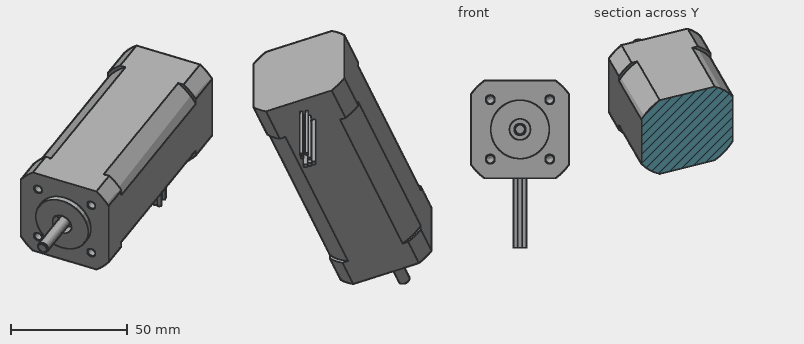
import cadquery as cq
import math

overall_length = 121.8
overall_height = 71.7
body_width = 42.0
half_width = body_width / 2
body_length = 100.4

front_cap_length = 12.4
back_cap_length = 16.0
stator_length = body_length - front_cap_length - back_cap_length
cap_flat_width = 30.3
stator_flat_width = 25.2

pilot_diameter = 25.1
pilot_height = 2.5
recess_diameter = 9.0
recess_depth = 5.0
shaft_diameter = 5.0
shaft_chamfer = 0.5
shaft_reach = overall_length - body_length

hole_pitch = 25.5
hole_diameter = 3.5
hole_mouth_diameter = 4.0
hole_depth = 5.0
drill_point_angle = 118.0

thick_wire_diameter = 1.8
thin_wire_diameter = 1.3
wire_length = overall_height - body_width
wire_embedment = 1.2
thick_wire_gap = 0.06
thick_wire_pitch = thick_wire_diameter + thick_wire_gap
thick_wire_inset = 12.4
thick_wires = [(step * thick_wire_pitch, thick_wire_inset) for step in (-1, 0, 1)]
thin_wires = [(-1.0, 6.7), (-1.1, 9.5), (1.3, 6.2), (1.6, 7.7)]


def body_section(start, length, flat_width):
    """Square bar whose corners are rounded by a circle about the shaft axis."""
    corner_diameter = math.hypot(body_width, flat_width)
    square = cq.Workplane("XY").box(body_width, length, body_width).translate((0, start + length / 2, 0))
    return square.intersect(rod(corner_diameter, start, length))


def rod(diameter, start, length):
    """Cylinder on the shaft axis, running toward +Y from start."""
    return cq.Workplane("XZ", origin=(0, start, 0)).circle(diameter / 2).extrude(-length)


def mounting_hole():
    """Blind hole with a chamfered mouth and a conical drill point."""
    radius = hole_diameter / 2
    mouth_radius = hole_mouth_diameter / 2
    mouth_depth = mouth_radius - radius
    point_depth = radius / math.tan(math.radians(drill_point_angle / 2))
    return (
        cq.Workplane("XY")
        .lineTo(mouth_radius, 0)
        .lineTo(radius, mouth_depth)
        .lineTo(radius, hole_depth)
        .lineTo(0, hole_depth + point_depth)
        .close()
        .revolve(360, (0, 0, 0), (0, 1, 0))
    )


def wires(places, diameter):
    """Wires hanging from the underside of the back cap."""
    points = [(x, body_length - inset) for x, inset in places]
    return (
        cq.Workplane("XY", origin=(0, 0, wire_embedment - half_width))
        .pushPoints(points)
        .circle(diameter / 2)
        .extrude(-(wire_length + wire_embedment))
    )


stator_end = front_cap_length + stator_length
front_cap = body_section(0, front_cap_length, cap_flat_width)
stator = body_section(front_cap_length, stator_length, stator_flat_width)
back_cap = body_section(stator_end, back_cap_length, cap_flat_width)
motor = front_cap.union(stator).union(back_cap)

motor = motor.union(rod(pilot_diameter, -pilot_height, pilot_height))
motor = motor.cut(rod(recess_diameter, -pilot_height, recess_depth))

for side_x in (-1, 1):
    for side_z in (-1, 1):
        place = (side_x * hole_pitch / 2, 0, side_z * hole_pitch / 2)
        motor = motor.cut(mounting_hole().translate(place))

shaft = rod(shaft_diameter, -shaft_reach, shaft_reach + recess_depth)
shaft = shaft.faces("<Y").chamfer(shaft_chamfer)
motor = motor.union(shaft)

motor = motor.union(wires(thick_wires, thick_wire_diameter))
motor = motor.union(wires(thin_wires, thin_wire_diameter))

result = motor